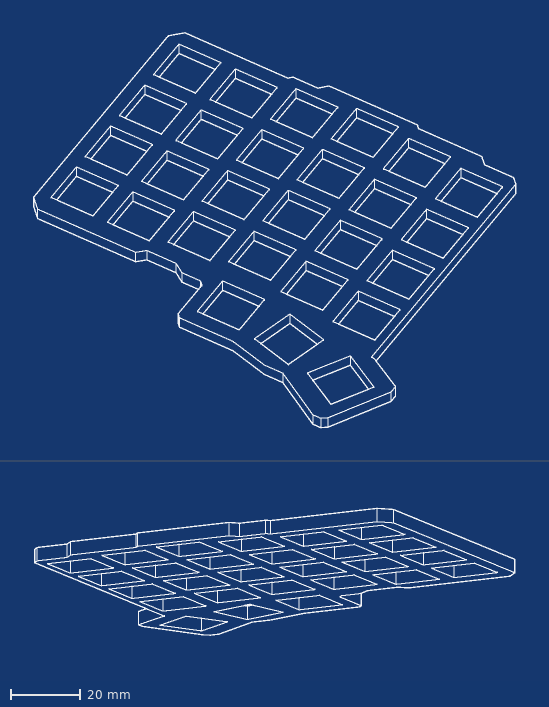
import cadquery as cq

plate_thickness = 4.0
plate_width = 128.53
plate_depth = 114.3

key_pitch = 19.05
cutout_size = 14.15
row_count = 4
stagger_step = key_pitch / 8
column_stagger = (0, 0, stagger_step, 2 * stagger_step, stagger_step, 0)
first_key_x = 11.45
first_key_y = 41.8

thumb_keys = (
    (71.1, 24.95, 0),
    (92.45, 22.15, -15),
    (113.6, 16.0, -30),
)

bottom_edge = 28.7
notch_edge = 31.0
top_edge = 110.8
ring_edge = 111.9
index_edge = 113.2
thumb_bottom = 13.0
thumb_middle_bottom = 9.65

matrix_right = 116.5
thumb_left = 59.75
notch_left = 39.0
notch_right = 48.9
ring_step_start = 38.3
middle_step_start = 47.8
middle_step_end = 80.0
index_step_end = 102.4

thumb_top_start = (matrix_right, 28.5)
thumb_top_bend = (117.7, 28.2)
thumb_tip_upper = (plate_width, 22.0)
thumb_tip_lower = (plate_width, 19.5)
thumb_heel_right = (118.3, 1.3)
thumb_heel_start = 113.9
thumb_heel_end = 116.6
thumb_middle_start = 91.7
thumb_middle_end = 97.9
thumb_inner_end = 79.0

left_corner_cut = 3.5
right_corner_cut = 1.9
thumb_corner_cut = 1.2
ring_slope = 1.0
middle_slope = 2.2
middle_to_index_slope = 1.0
index_slope = 2.4
notch_slope_left = 2.4
notch_slope_right = 3.3


def left_and_top_points():
    """Outline from the lower-left corner, clockwise to the matrix's right side."""
    return [
        (left_corner_cut, bottom_edge),
        (0, bottom_edge + left_corner_cut),
        (0, top_edge - left_corner_cut),
        (left_corner_cut, top_edge),
        (ring_step_start, top_edge),
        (ring_step_start + ring_slope, ring_edge),
        (middle_step_start, ring_edge),
        (middle_step_start + middle_slope, plate_depth),
        (middle_step_end, plate_depth),
        (middle_step_end + middle_to_index_slope, index_edge),
        (index_step_end, index_edge),
        (index_step_end + index_slope, top_edge),
        (matrix_right - right_corner_cut, top_edge),
        (matrix_right, top_edge - right_corner_cut),
    ]


def thumb_cluster_points():
    """Outline around the thumb keys, clockwise from the matrix's right side."""
    return [
        thumb_top_start,
        thumb_top_bend,
        thumb_tip_upper,
        thumb_tip_lower,
        thumb_heel_right,
        (thumb_heel_end, 0),
        (thumb_heel_start, 0),
        (thumb_middle_end, thumb_middle_bottom),
        (thumb_middle_start, thumb_middle_bottom),
        (thumb_inner_end, thumb_bottom),
        (thumb_left + thumb_corner_cut, thumb_bottom),
        (thumb_left, thumb_bottom + thumb_corner_cut),
        (thumb_left, bottom_edge - thumb_corner_cut),
        (thumb_left - thumb_corner_cut, bottom_edge),
    ]


def bottom_notch_points():
    """Shallow notch in the bottom edge, from right to left."""
    return [
        (notch_right + notch_slope_right, bottom_edge),
        (notch_right, notch_edge),
        (notch_left, notch_edge),
        (notch_left - notch_slope_left, bottom_edge),
    ]


def make_plate():
    outline = left_and_top_points() + thumb_cluster_points() + bottom_notch_points()
    return cq.Workplane("XY").polyline(outline).close().extrude(plate_thickness)


def matrix_keys():
    """Key positions of the staggered matrix, unrotated."""
    keys = []
    for column, stagger in enumerate(column_stagger):
        for row in range(row_count):
            x = first_key_x + column * key_pitch
            y = first_key_y + row * key_pitch + stagger
            keys.append((x, y, 0))
    return keys


def cut_switch_opening(plate, x, y, angle):
    opening = (
        cq.Workplane("XY")
        .rect(cutout_size, cutout_size)
        .extrude(plate_thickness)
        .rotate((0, 0, 0), (0, 0, 1), angle)
        .translate((x, y, 0))
    )
    return plate.cut(opening)


result = make_plate()
for key_x, key_y, key_angle in matrix_keys() + list(thumb_keys):
    result = cut_switch_opening(result, key_x, key_y, key_angle)